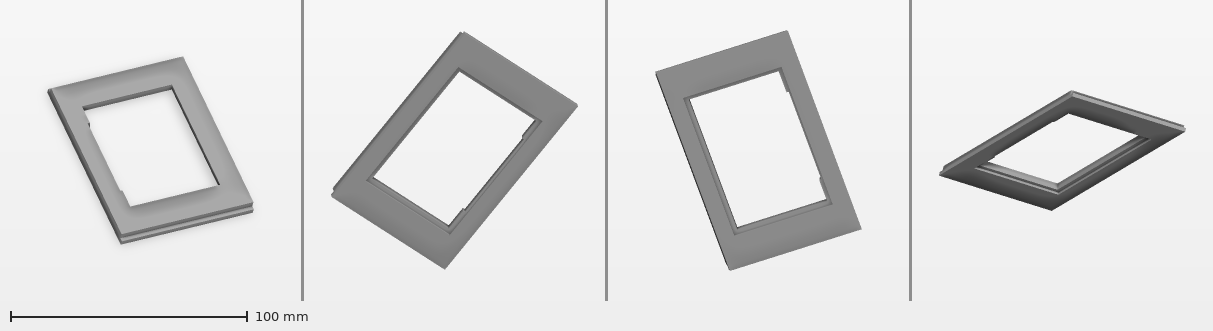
import cadquery as cq

LENGTH = 96.0
DEPTH = 60.0
HEIGHT = 4.0

LEAN = 1.1

RAIL_WIDTH = 2.0
RAIL_HEIGHT = 1.8

WINDOW_LENGTH = 63.2
WINDOW_DEPTH = 40.1
BACK_BORDER = 10.0
NOTCH_LENGTH = 42.6
NOTCH_DEPTH = 1.0

RECESS_HEIGHT = 1.1
RECESS_MARGIN = 1.9

BACK_Y = DEPTH / 2
FRONT_Y = -DEPTH / 2
WINDOW_BACK_Y = BACK_Y - BACK_BORDER


def leaning_plate():
    """Plate whose YZ cross-section is a parallelogram, centred along X."""
    profile = [
        (FRONT_Y, 0),
        (BACK_Y - LEAN, 0),
        (BACK_Y, HEIGHT),
        (FRONT_Y + LEAN, HEIGHT),
    ]
    return cq.Workplane("YZ").polyline(profile).close().extrude(LENGTH / 2, both=True)


def end_step(side):
    """Block that clears the space above the rail on one end (side is -1 or 1)."""
    center_x = side * (LENGTH - RAIL_WIDTH) / 2
    step = cq.Workplane("XY").box(RAIL_WIDTH, DEPTH, HEIGHT, centered=(True, True, False))
    return step.translate((center_x, 0, RAIL_HEIGHT))


def through_cut(length, depth):
    """Full-height block reaching forward from the back edge of the window."""
    cut = cq.Workplane("XY").box(length, depth, HEIGHT, centered=(True, True, False))
    return cut.translate((0, WINDOW_BACK_Y - depth / 2, 0))


def underside_recess():
    """Rectangular pocket around the window, open at the bottom."""
    recess_length = WINDOW_LENGTH + 2 * RECESS_MARGIN
    recess_depth = WINDOW_DEPTH + 2 * RECESS_MARGIN
    center_y = WINDOW_BACK_Y - WINDOW_DEPTH / 2
    recess = cq.Workplane("XY").box(recess_length, recess_depth, RECESS_HEIGHT, centered=(True, True, False))
    return recess.translate((0, center_y, 0))


def make_frame():
    """Display frame with side rails, a notched window and an underside recess."""
    frame = leaning_plate()
    for side in (-1, 1):
        frame = frame.cut(end_step(side))
    frame = frame.cut(through_cut(WINDOW_LENGTH, WINDOW_DEPTH))
    frame = frame.cut(through_cut(NOTCH_LENGTH, WINDOW_DEPTH + NOTCH_DEPTH))
    return frame.cut(underside_recess())


frame = make_frame()

result = cq.Compound.makeCompound([frame.val()])